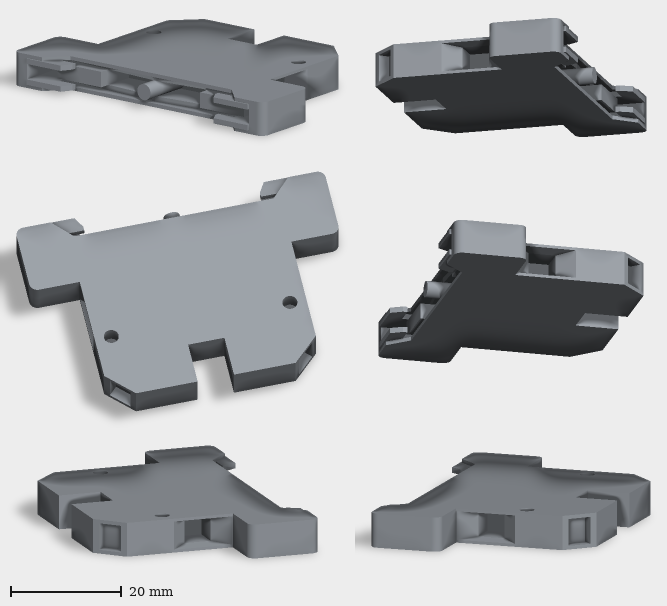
import cadquery as cq

thickness = 6.3
height = 38.5
base_width = 57.1
shoulder_height = 13.4
tower_width = 39.1
tower_chamfer = 4.8
chamfer_angle = 45
top_slot_width = 6.7
top_slot_depth = 7.95
corner_radius = 1.5

rail_height = 3.8
rail_width = 36.8
rail_mouth_width = 43.9

cavity_width = 50.7
cavity_thickness = 4.9
cavity_depth = 8.0
cavity_top = rail_height + cavity_depth

screw_hole_diameter = 2.7
screw_hole_depth = 3.0
screw_hole_spacing = 33.0
screw_hole_height = height - 12.65

entry_bottom = 13.6
entry_top = 24.65
entry_thickness = 5.25
bore_height = 5.0
bore_thickness = 4.7
funnel_depth = 2.9
bore_depth = 5.0

chamfer_slot_length = 4.4
chamfer_slot_thickness = 4.95
chamfer_slot_depth = 2.1

foot_width = 50.4
plate_gap = 2.9
foot_bottom = -0.35
hook_top = 2.55
hook_tip_x = 16.3
hook_tip_flat = 0.8
hook_toe_x = 17.5
neck_x = 20.0
spine_middle_y = rail_height + 1.15
spine_slope = 0.078
block_inner_x = 11.3
block_outer_x = 21.3
block_bottom = rail_height - 0.12
pin_diameter = 3.0
pin_end = rail_height - 2.1


def extrude_mid(sketch, depth):
    """Extrude an XY outline to a total depth centred on Z = 0."""
    return sketch.extrude(depth / 2, both=True)


def box_between(x_min, x_max, y_min, y_max, depth):
    """Box between X and Y limits, centred on Z = 0."""
    return cq.Workplane("XY").box(x_max - x_min, y_max - y_min, depth).translate(
        ((x_min + x_max) / 2, (y_min + y_max) / 2, 0)
    )


def with_mirror(half):
    """The feature together with its copy on the other side of X = 0."""
    return half.union(half.mirror("YZ"))


def housing_blank():
    half_outline = [
        (0, rail_height),
        (rail_width / 2, rail_height),
        (rail_mouth_width / 2, 0),
        (base_width / 2, 0),
        (base_width / 2, shoulder_height),
        (tower_width / 2, shoulder_height),
        (tower_width / 2, height - tower_chamfer),
        (tower_width / 2 - tower_chamfer, height),
        (top_slot_width / 2, height),
        (top_slot_width / 2, height - top_slot_depth),
        (0, height - top_slot_depth),
    ]
    half = extrude_mid(cq.Workplane("XY").polyline(half_outline).close(), thickness)
    half = half.edges("|Z and >X").fillet(corner_radius)
    return with_mirror(half)


def wire_entry():
    """Funnel and bore on the +X side, cut inwards from the tower side."""
    centre_y = (entry_bottom + entry_top) / 2
    side_face = cq.Workplane("YZ", origin=(tower_width / 2, centre_y, 0))
    funnel = (
        side_face.rect(entry_top - entry_bottom, entry_thickness)
        .workplane(offset=-funnel_depth)
        .rect(bore_height, bore_thickness)
        .loft(ruled=True)
    )
    bore = (
        side_face.workplane(offset=-funnel_depth)
        .rect(bore_height, bore_thickness)
        .extrude(-bore_depth)
    )
    return funnel.union(bore)


def chamfer_slot():
    """Slot on the +X side, square to the middle of the tower chamfer."""
    slot = cq.Workplane("XY").box(
        2 * chamfer_slot_depth, chamfer_slot_length, chamfer_slot_thickness
    )
    middle_x = (tower_width - tower_chamfer) / 2
    middle_y = height - tower_chamfer / 2
    return slot.rotate((0, 0, 0), (0, 0, 1), chamfer_angle).translate((middle_x, middle_y, 0))


def screw_hole():
    return (
        cq.Workplane("XY", origin=(screw_hole_spacing / 2, screw_hole_height, thickness / 2))
        .circle(screw_hole_diameter / 2)
        .extrude(-screw_hole_depth)
    )


def make_housing():
    body = housing_blank()
    body = body.cut(
        box_between(-cavity_width / 2, cavity_width / 2, 0, cavity_top, cavity_thickness)
    )
    for feature in (wire_entry(), chamfer_slot(), screw_hole()):
        body = body.cut(with_mirror(feature))
    return body


def hook_plates():
    """Two plates of one outline, one against each wall of the cavity."""
    half_outline = [
        (0, spine_middle_y),
        (neck_x, spine_middle_y + spine_slope * neck_x),
        (neck_x, hook_top),
        (hook_tip_x, hook_top),
        (hook_tip_x, hook_top - hook_tip_flat),
        (hook_toe_x, foot_bottom),
        (foot_width / 2, foot_bottom),
        (foot_width / 2, cavity_top),
        (0, cavity_top),
    ]
    half = extrude_mid(cq.Workplane("XY").polyline(half_outline).close(), cavity_thickness)
    gap = box_between(-foot_width / 2, foot_width / 2, foot_bottom, cavity_top, plate_gap)
    return with_mirror(half).cut(gap)


def make_foot():
    block = box_between(block_inner_x, block_outer_x, block_bottom, cavity_top, plate_gap)
    pin = (
        cq.Workplane("XZ", origin=(0, pin_end, 0))
        .circle(pin_diameter / 2)
        .extrude(pin_end - cavity_top)
    )
    return hook_plates().union(with_mirror(block)).union(pin)


housing = make_housing()
foot = make_foot()

result = cq.Compound.makeCompound([housing.val(), foot.val()])